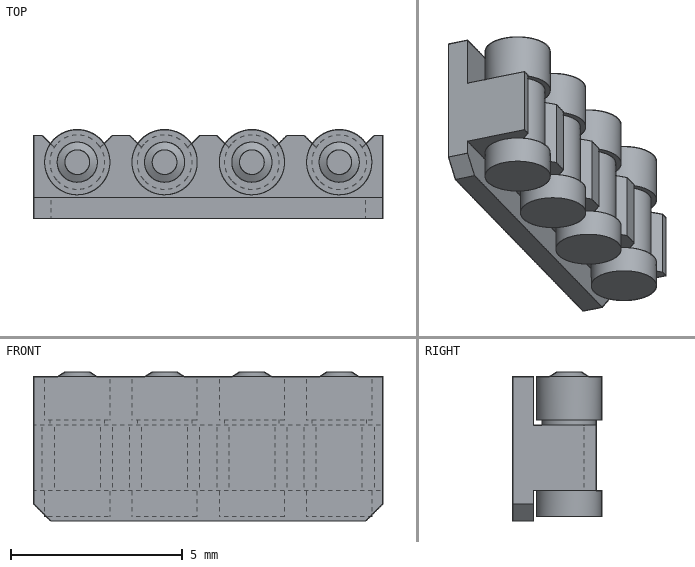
import cadquery as cq

contact_count = 4
pitch = 2.54
length = contact_count * pitch

plate_thickness = 0.61
plate_height = 4.2
corner_chamfer = 0.5

block_back = 2.42
block_bottom = 0.89
block_top = 2.79
notch_half_width = 1.02

head_diameter = 1.9
neck_diameter = 1.59
tip_base_diameter = 1.17
tip_top_diameter = 0.72
overall_depth = 2.59
contact_y = overall_depth - head_diameter / 2
foot_bottom = 0.13
head_bottom = 2.94
tip_height = 0.14

contact_positions = [(i - (contact_count - 1) / 2) * pitch for i in range(contact_count)]


def make_plate():
    """Upright plate with its two bottom corners cut at 45 degrees."""
    return (
        cq.Workplane("XY")
        .box(length, plate_thickness, plate_height, centered=(True, False, False))
        .edges("|Y and <Z")
        .chamfer(corner_chamfer)
    )


def make_block():
    """Bar behind the plate with a V notch in its back face at every contact."""
    block = (
        cq.Workplane("XY", origin=(0, 0, block_bottom))
        .box(length, block_back, block_top - block_bottom, centered=(True, False, False))
    )
    for x in contact_positions:
        notch = (
            cq.Workplane("XY", origin=(x, block_back, block_bottom))
            .moveTo(-notch_half_width, 0)
            .lineTo(0, -notch_half_width)
            .lineTo(notch_half_width, 0)
            .close()
            .extrude(block_top - block_bottom)
        )
        block = block.cut(notch)
    return block


def make_contact(x):
    """Turned contact about a vertical axis, drawn as a half section and revolved."""
    head_radius = head_diameter / 2
    neck_radius = neck_diameter / 2
    tip_top = plate_height + tip_height
    half_section = [
        (0, foot_bottom),
        (head_radius, foot_bottom),
        (head_radius, block_bottom),
        (neck_radius, block_bottom),
        (neck_radius, head_bottom),
        (head_radius, head_bottom),
        (head_radius, plate_height),
        (tip_base_diameter / 2, plate_height),
        (tip_top_diameter / 2, tip_top),
        (0, tip_top),
    ]
    return (
        cq.Workplane("XZ")
        .polyline(half_section)
        .close()
        .revolve(360, (0, 0, 0), (0, 1, 0))
        .translate((x, contact_y, 0))
    )


result = make_plate().union(make_block())
for contact_x in contact_positions:
    result = result.union(make_contact(contact_x))